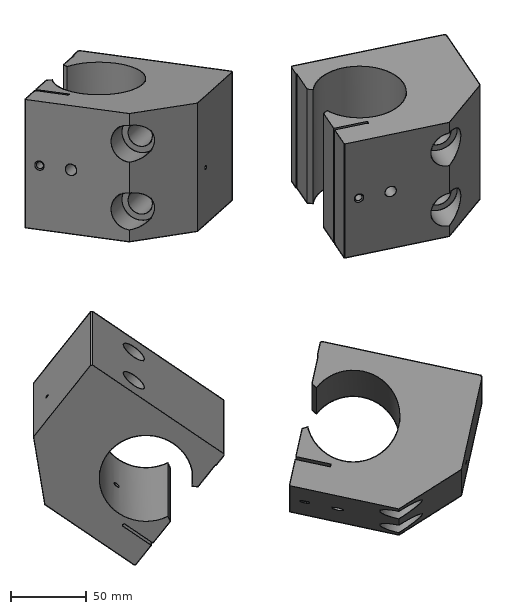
import cadquery as cq
import math

LENGTH = 110.0
WIDTH = 100.0
HEIGHT = 91.0
CORNER_CUT = 35.0
BACK_CHAMFER = 1.0
FRONT_CHAMFER = 0.5

PAD_WIDTH = 10.0
PAD_STEP = 0.5

BORE_DIAMETER = 62.0
BORE_X = 32.0
BORE_Y = 55.0
MOUTH_HALF_WIDTH = 15.5
MOUTH_FLARE_ANGLE = 30.0

SLOT_WIDTH = 2.0
SLOT_Y = 19.1
SLOT_END_X = 24.4

BOLT_X = LENGTH - CORNER_CUT
BOLT_SPACING = 48.0
BOLT_DIAMETER = 17.3
BOLT_HEAD_DIAMETER = 26.0
BOLT_HEAD_DEPTH = 20.0

SCREW_X = 11.0
SCREW_DIAMETER = 5.0
SCREW_MOUTH_DIAMETER = 6.6

PORT_X = 33.4
PORT_DIAMETER = 4.2
PORT_MOUTH_DIAMETER = 5.0
PORT_RECESS_DIAMETER = 8.0
PORT_RECESS_DEPTH = 15.0

CROSS_DIAMETER = 2.5
CROSS_Y = 50.0
CROSS_Z = 40.0

MID_Z = HEIGHT / 2


def front_cylinder(x, z, diameter, depth, start=0.0):
    """Cylinder running in +Y from a given distance behind the front face."""
    base = cq.Vector(x, start, z)
    return cq.Workplane(cq.Solid.makeCylinder(diameter / 2, depth, base, cq.Vector(0, 1, 0)))


def front_countersink(x, z, outer, inner, start=0.0):
    """45 degree cone narrowing in +Y from the outer to the inner diameter."""
    depth = (outer - inner) / 2
    base = cq.Vector(x, start, z)
    cone = cq.Solid.makeCone(outer / 2, inner / 2, depth, base, cq.Vector(0, 1, 0))
    return cq.Workplane(cone)


def make_block():
    outline = [
        (PAD_STEP + FRONT_CHAMFER, 0),
        (BOLT_X, 0),
        (LENGTH, CORNER_CUT),
        (LENGTH, WIDTH - BACK_CHAMFER),
        (LENGTH - BACK_CHAMFER, WIDTH),
        (BACK_CHAMFER, WIDTH),
        (0, WIDTH - BACK_CHAMFER),
        (0, WIDTH - PAD_WIDTH),
        (PAD_STEP, WIDTH - PAD_WIDTH),
        (PAD_STEP, FRONT_CHAMFER),
    ]
    return cq.Workplane("XY").polyline(outline).close().extrude(HEIGHT)


def make_bore():
    bore = cq.Workplane("XY").center(BORE_X, BORE_Y).circle(BORE_DIAMETER / 2).extrude(HEIGHT)
    flare_run = MOUTH_HALF_WIDTH / math.tan(math.radians(MOUTH_FLARE_ANGLE))
    mouth = (
        cq.Workplane("XY")
        .polyline([
            (PAD_STEP, BORE_Y - MOUTH_HALF_WIDTH),
            (PAD_STEP + flare_run, BORE_Y),
            (PAD_STEP, BORE_Y + MOUTH_HALF_WIDTH),
        ])
        .close()
        .extrude(HEIGHT)
    )
    return bore.union(mouth)


def make_slot():
    slot = cq.Workplane("XY").box(SLOT_END_X, SLOT_WIDTH, HEIGHT, centered=(False, True, False))
    return slot.translate((0, SLOT_Y, 0))


def make_bolt_hole(z):
    shank = front_cylinder(BOLT_X, z, BOLT_DIAMETER, WIDTH)
    head = front_cylinder(BOLT_X, z, BOLT_HEAD_DIAMETER, BOLT_HEAD_DEPTH)
    return shank.union(head)


def make_screw_hole():
    hole = front_cylinder(SCREW_X, MID_Z, SCREW_DIAMETER, SLOT_Y)
    return hole.union(front_countersink(SCREW_X, MID_Z, SCREW_MOUTH_DIAMETER, SCREW_DIAMETER))


def make_port():
    hole = front_cylinder(PORT_X, MID_Z, PORT_DIAMETER, BORE_Y)
    recess = front_cylinder(PORT_X, MID_Z, PORT_RECESS_DIAMETER, PORT_RECESS_DEPTH)
    lead_in = front_countersink(PORT_X, MID_Z, PORT_MOUTH_DIAMETER, PORT_DIAMETER, PORT_RECESS_DEPTH)
    return hole.union(recess).union(lead_in)


def make_cross_hole():
    base = cq.Vector(BORE_X, CROSS_Y, CROSS_Z)
    hole = cq.Solid.makeCylinder(CROSS_DIAMETER / 2, LENGTH - BORE_X, base, cq.Vector(1, 0, 0))
    return cq.Workplane(hole)


result = make_block().cut(make_bore()).cut(make_slot())
for side in (-1, 1):
    result = result.cut(make_bolt_hole(MID_Z + side * BOLT_SPACING / 2))
result = result.cut(make_screw_hole()).cut(make_port()).cut(make_cross_hole())